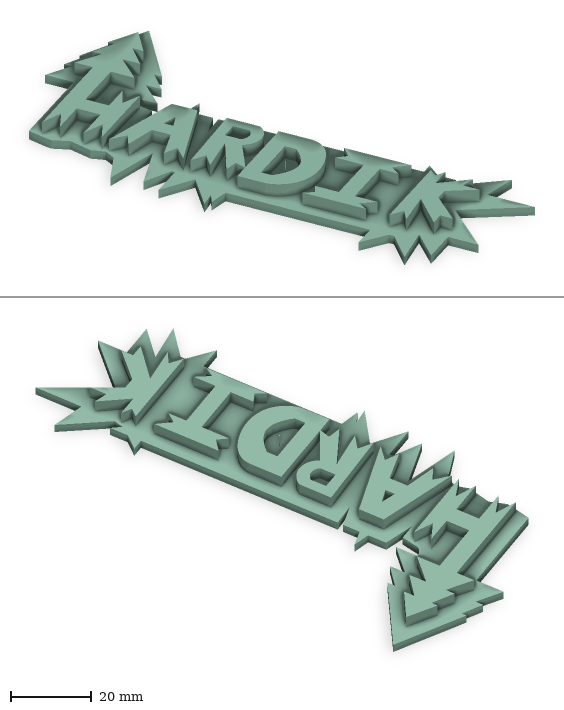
import cadquery as cq


plate_thickness = 2.5
total_height = 6.0
letter_height = total_height - plate_thickness

plate_length = 136.0
plate_width = 68.0
band_top = 38.1
band_bottom = 7.8

cap_line = 34.4
foot_line = 12.6
low_foot_line = 11.0
foot_notch = 16.3

h_left = 11.5
h_stem = 4.9
h_gap = 6.5
h_bar_bottom = 22.2
h_bar_top = 26.9
h_foot_notch = 18.4
h_top_notch = 29.4
tree_tip = 61.0
upper_branch = 53.6
middle_branch = 47.9
lower_branch = 41.3

a_center = 40.1
a_top_half = 3.5
a_foot_outer = 10.2
a_foot_notch = 6.8
a_foot_inner = 4.9
a_bar_half = 2.6
a_hole_half = 1.4
a_bar_bottom = 21.2
a_hole_bottom = 25.3
a_hole_top = 29.4

r_left = 51.7
r_bowl_start = 60.8
r_bowl_right = 63.6
r_bowl_middle = 29.2
r_waist_x = 60.6
r_waist_y = 24.6
r_tip_overlap = 0.1
r_hole_left = 54.8
r_hole_flat_end = 59.2
r_hole_right = 60.4
r_hole_top = 31.5
r_hole_bottom = 26.9
r_hole_middle = (r_hole_top + r_hole_bottom) / 2

d_left = 66.0
d_right = 83.0
d_bowl_start = 75.2
d_bowl_end = 73.5
d_middle = (cap_line + low_foot_line) / 2
d_hole_left = 70.5
d_hole_flat_end = 73.4
d_hole_right = 77.5
d_hole_shoulder = 75.9
d_hole_shoulder_half = 4.2
d_hole_half = 6.8
d_hole_middle = 21.9

i_left = 83.9
i_right = 102.4
i_stem_left = 91.8
i_stem_right = 96.1
i_upper_serif = 29.4
i_lower_serif = 15.2
i_upper_notch = 31.4
i_lower_notch = foot_line
i_notch_left = 86.5
i_notch_right = 98.6
i_short_right = 101.3
i_short_left = 85.3

k_left = 107.7
k_stem_right = 111.4
k_waist = 115.0
k_right = 122.5
k_leg_right = 119.1

pin_x = 73.7
pin_y = 22.2
pin_diameter = 0.3


def raised(outline):
    """Extrude a closed outline from the top of the plate to the top of the letters."""
    return outline.extrude(letter_height)


def sketch():
    """Empty sketch on the top face of the plate."""
    return cq.Workplane("XY", origin=(0, 0, plate_thickness))


def polygon(points):
    """Closed straight-sided outline on the top face of the plate."""
    return sketch().polyline(points).close()


def build_plate():
    """Backing plate, its outline run clockwise from the tip of the tree."""
    tree_right = [
        (14.0, plate_width),
        (26.4, 49.9),
        (24.2, 49.9),
        (28.8, 44.6),
        (24.5, 44.6),
        (30.9, band_top),
        (24.7, band_top),
    ]
    top_edge = [
        (31.1, 34.4),
        (31.1, 29.6),
        (33.7, band_top),
        (38.9, band_top),
        (40.1, 42.7),
        (41.3, band_top),
        (46.1, band_top),
        (47.9, 31.7),
        (47.6, band_top),
        (104.0, band_top),
    ]
    k_burst = [
        (104.0, 41.3),
        (107.8, band_top),
        (112.9, band_top),
        (110.4, 36.2),
        (113.1, 35.5),
        (125.2, 44.2),
        (122.8, 35.2),
        (plate_length, 35.2),
        (118.8, 25.3),
        (131.1, 13.2),
        (122.8, 13.2),
        (122.8, 3.5),
        (115.9, 11.0),
        (117.2, 0),
        (110.5, band_bottom),
        (109.2, band_bottom),
        (104.0, 1.2),
        (104.0, band_bottom),
    ]
    lower_spikes = [
        (64.3, band_bottom),
        (63.1, 2.3),
        (61.5, 5.5),
        (61.9, 0.8),
        (54.8, 10.2),
        (48.8, 1.6),
        (48.8, 11.0),
        (47.9, 11.0),
        (43.8, 3.5),
        (40.0, 16.7),
        (35.6, 1.6),
        (32.2, 10.5),
    ]
    wavy_foot = [
        (29.2, 12.2),
        (25.5, 11.2),
        (24.6, 11.4),
        (19.3, 12.8),
        (14.8, 11.2),
        (13.0, 11.4),
        (7.9, 12.6),
    ]
    tree_left = [
        (7.9, band_top),
        (0, band_top),
        (4.2, 44.6),
        (2.0, 44.6),
        (5.0, 49.9),
        (3.7, 49.9),
    ]
    hollow_middle = (25.3, 36.3)
    hollow_end = (26.5, 35.4)
    return (
        cq.Workplane("XY")
        .polyline(tree_right)
        .threePointArc(hollow_middle, hollow_end)
        .polyline(top_edge + k_burst + lower_spikes + wavy_foot + tree_left, includeCurrent=True)
        .close()
        .extrude(plate_thickness)
    )


def build_h():
    left_stem_right = h_left + h_stem
    right_stem_left = left_stem_right + h_gap
    right_stem_right = right_stem_left + h_stem
    left_middle = h_left + h_stem / 2
    right_middle = right_stem_left + h_stem / 2
    tree_right = [
        (14.4, tree_tip),
        (19.5, upper_branch),
        (left_stem_right, upper_branch),
        (21.3, middle_branch),
        (left_stem_right, middle_branch),
        (right_stem_left, lower_branch),
        (left_stem_right, lower_branch),
    ]
    stems = [
        (left_stem_right, h_bar_top),
        (right_stem_left, h_bar_top),
        (right_stem_left, cap_line),
        (right_middle, h_top_notch),
        (right_stem_right, cap_line),
        (right_stem_right, foot_line),
        (right_middle, h_foot_notch),
        (right_stem_left, foot_line),
        (right_stem_left, h_bar_bottom),
        (left_stem_right, h_bar_bottom),
        (left_stem_right, foot_line),
        (left_middle, h_foot_notch),
        (h_left, foot_line),
    ]
    tree_left = [
        (h_left, lower_branch),
        (6.5, lower_branch),
        (10.9, middle_branch),
        (8.3, middle_branch),
        (h_left, upper_branch),
        (9.8, upper_branch),
    ]
    return raised(polygon(tree_right + stems + tree_left))


def build_a():
    right_half = [
        (a_top_half, cap_line),
        (a_foot_outer, foot_line),
        (a_foot_notch, foot_notch),
        (a_foot_inner, foot_line),
        (a_bar_half, a_bar_bottom),
    ]
    right_side = [(a_center + x, y) for x, y in right_half]
    left_side = [(a_center - x, y) for x, y in reversed(right_half)]
    hole = [
        (a_center, a_hole_top),
        (a_center + a_hole_half, a_hole_bottom),
        (a_center - a_hole_half, a_hole_bottom),
    ]
    return raised(polygon(right_side + left_side)).cut(raised(polygon(hole)))


def build_r():
    legs = [
        (d_left + r_tip_overlap, 15.4),
        (63.0, foot_notch),
        (62.1, foot_line),
        (56.4, 23.7),
        (57.7, foot_line),
        (54.8, foot_notch),
        (52.4, foot_line),
    ]
    body = (
        sketch()
        .moveTo(r_left, cap_line)
        .lineTo(r_bowl_start, cap_line)
        .threePointArc((r_bowl_right, r_bowl_middle), (r_waist_x, r_waist_y))
        .polyline(legs, includeCurrent=True)
        .close()
    )
    hole = (
        sketch()
        .moveTo(r_hole_left, r_hole_top)
        .lineTo(r_hole_flat_end, r_hole_top)
        .threePointArc((r_hole_right, r_hole_middle), (r_hole_flat_end, r_hole_bottom))
        .lineTo(r_hole_left, r_hole_bottom)
        .close()
    )
    return raised(body).cut(raised(hole))


def build_d():
    bowl = [
        (79.3, 32.5),
        (81.7, 28.5),
        (d_right, d_middle),
        (81.5, 16.2),
        (78.5, 12.9),
        (d_bowl_end, low_foot_line),
    ]
    body = (
        sketch()
        .moveTo(d_bowl_end, low_foot_line)
        .lineTo(d_left, low_foot_line)
        .lineTo(d_left, cap_line)
        .lineTo(d_bowl_start, cap_line)
        .spline(bowl, includeCurrent=True)
        .close()
    )
    hole = (
        sketch()
        .moveTo(d_hole_left, d_hole_middle + d_hole_half)
        .lineTo(d_hole_flat_end, d_hole_middle + d_hole_half)
        .spline(
            [
                (d_hole_shoulder, d_hole_middle + d_hole_shoulder_half),
                (d_hole_right, d_hole_middle),
                (d_hole_shoulder, d_hole_middle - d_hole_shoulder_half),
                (d_hole_flat_end, d_hole_middle - d_hole_half),
            ],
            includeCurrent=True,
        )
        .lineTo(d_hole_left, d_hole_middle - d_hole_half)
        .close()
    )
    return raised(body).cut(raised(hole))


def build_i():
    outline = [
        (i_left, cap_line),
        (i_right, cap_line),
        (i_notch_right, i_upper_notch),
        (i_short_right, i_upper_serif),
        (i_stem_right, i_upper_serif),
        (i_stem_right, i_lower_serif),
        (i_right, i_lower_serif),
        (i_notch_right, i_lower_notch),
        (i_short_right, low_foot_line),
        (i_left, low_foot_line),
        (i_notch_left, i_lower_notch),
        (i_short_left, i_lower_serif),
        (i_stem_left, i_lower_serif),
        (i_stem_left, i_upper_serif),
        (i_left, i_upper_serif),
        (i_notch_left, i_upper_notch),
    ]
    return raised(polygon(outline))


def build_k():
    outline = [
        (k_left, cap_line),
        (109.9, 32.6),
        (k_stem_right, 35.2),
        (k_stem_right, 29.4),
        (119.0, 35.1),
        (117.9, 31.4),
        (k_right, 31.4),
        (k_waist, 27.0),
        (k_waist, 23.7),
        (k_right, foot_notch),
        (k_leg_right, foot_notch),
        (k_leg_right, foot_line),
        (k_stem_right, 21.2),
        (112.3, low_foot_line),
        (110.1, 14.3),
        (k_left, low_foot_line),
    ]
    return raised(polygon(outline))


def build_name_plate():
    name_plate = build_plate()
    for letter in (build_h(), build_a(), build_r(), build_d(), build_i(), build_k()):
        name_plate = name_plate.union(letter)
    return name_plate


def build_pin():
    return raised(sketch().center(pin_x, pin_y).circle(pin_diameter / 2))


name_plate = build_name_plate()
pin = build_pin()
result = cq.Compound.makeCompound([name_plate.val(), pin.val()])